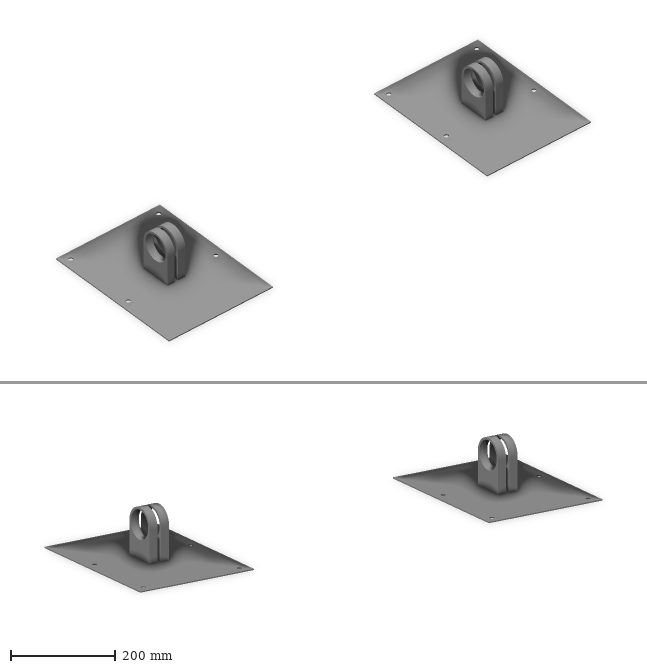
import cadquery as cq

total_length = 1059.0
total_height = 108.0

plate_width = 336.0
plate_depth = 260.0
plate_thickness = 2.5

mount_hole_diameter = 10.0
mount_hole_inset = 20.0
mount_hole_spacing_x = 170.0
mount_hole_spacing_y = plate_depth - 2 * mount_hole_inset

lug_width = 71.0
corner_radius = 35.0
lug_thickness = 18.0
lug_gap = 8.0
bore_diameter = 60.0
bore_height = total_height - corner_radius

bracket_count = 2
bracket_pitch = (total_length - plate_depth) / (bracket_count - 1)


def make_plate():
    """Flat plate with four mounting holes."""
    plate = cq.Workplane("XY").box(plate_width, plate_depth, plate_thickness, centered=False)
    hole_points = [
        (mount_hole_inset + i * mount_hole_spacing_x, mount_hole_inset + j * mount_hole_spacing_y)
        for i in range(2)
        for j in range(2)
    ]
    holes = (
        cq.Workplane("XY")
        .pushPoints(hole_points)
        .circle(mount_hole_diameter / 2)
        .extrude(plate_thickness)
    )
    return plate.cut(holes)


def make_lug(front_y):
    """Upright lug with two rounded top corners and a bore level with their centers."""
    center_x = plate_width / 2
    plane = cq.Workplane("XZ", origin=(0, front_y, 0))
    body = (
        plane.center(center_x, total_height / 2)
        .rect(lug_width, total_height)
        .extrude(-lug_thickness)
        .edges("|Y and >Z")
        .fillet(corner_radius)
    )
    bore = plane.center(center_x, bore_height).circle(bore_diameter / 2).extrude(-lug_thickness)
    return body.cut(bore)


def make_bracket(offset_y):
    """One-piece bracket: a plate carrying two parallel lugs."""
    bracket = make_plate()
    first_lug_y = plate_depth / 2 - lug_gap / 2 - lug_thickness
    for i in range(2):
        bracket = bracket.union(make_lug(first_lug_y + i * (lug_thickness + lug_gap)))
    return bracket.translate((0, offset_y, 0))


brackets = [make_bracket(i * bracket_pitch) for i in range(bracket_count)]

result = cq.Compound.makeCompound([bracket.val() for bracket in brackets])